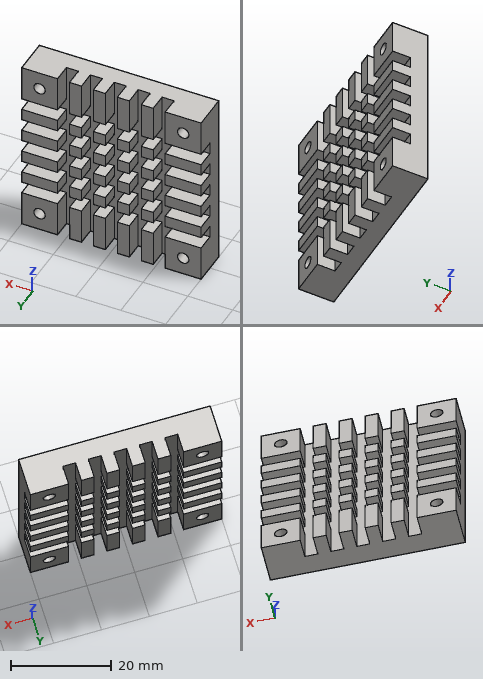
import cadquery as cq

side = 40.0
thickness = 8.0

hole_diameter = 2.5
hole_inset = 4.0
hole_spacing = side - 2 * hole_inset

border = 8.0
groove_count = 5
groove_depth = 4.0
groove_width = (side - 2 * border) / (2 * groove_count - 1)
groove_pitch = 2 * groove_width


def make_plate():
    """Plain plate centred on the origin, thickness along Y."""
    return cq.Workplane("XY").box(side, thickness, side)


def make_corner_holes():
    """Four cylinders running through the thickness."""
    return (
        cq.Workplane("XZ")
        .rect(hole_spacing, hole_spacing, forConstruction=True)
        .vertices()
        .circle(hole_diameter / 2)
        .extrude(thickness / 2, both=True)
    )


def make_groove(size_x, size_z, center_x, center_z):
    """One groove volume, open at the +Y face."""
    center_y = (thickness - groove_depth) / 2
    groove = cq.Workplane("XY").box(size_x, groove_depth, size_z)
    return groove.translate((center_x, center_y, center_z))


result = make_plate().cut(make_corner_holes())

for index in range(groove_count):
    offset = (index - (groove_count - 1) / 2) * groove_pitch
    result = result.cut(make_groove(groove_width, side, offset, 0))
    result = result.cut(make_groove(side, groove_width, 0, offset))